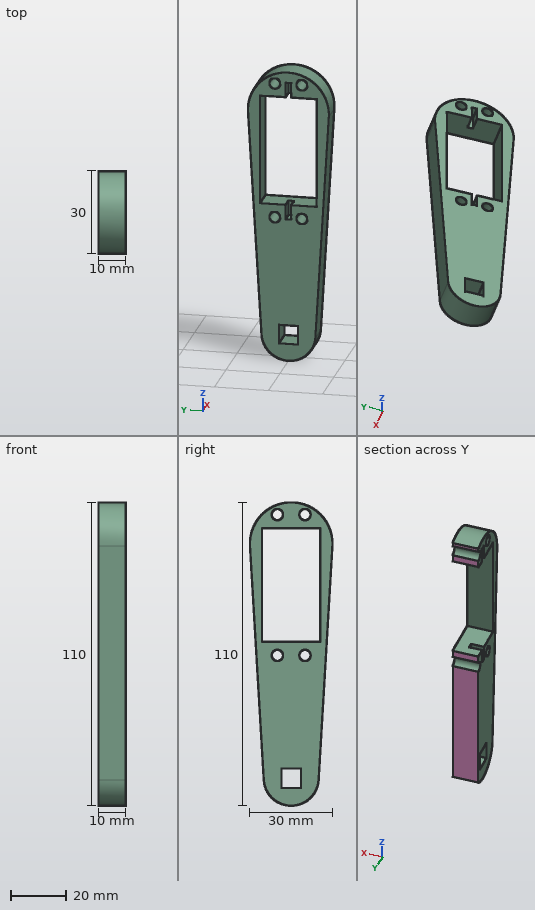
import cadquery as cq
import math

thickness = 10.0
large_radius = 15.0
small_radius = 10.0
overall_length = 110.0
end_spacing = overall_length - large_radius - small_radius

window_width = 21.0
window_height = 41.0
window_center_z = -large_radius
screw_diameter = 4.0
screw_spacing_y = 10.0
screw_spacing_z = 51.0
slot_width = 2.0
slot_length = 5.5
slot_depth = 5.0

drive_size = 7.0


def tapered_plate():
    """Two round ends joined by their common outer tangent lines."""
    tilt = math.asin((large_radius - small_radius) / end_spacing)
    large_y = large_radius * math.cos(tilt)
    large_z = -large_radius * math.sin(tilt)
    small_y = small_radius * math.cos(tilt)
    small_z = -end_spacing - small_radius * math.sin(tilt)
    return (
        cq.Workplane("YZ")
        .moveTo(large_y, large_z)
        .threePointArc((0, large_radius), (-large_y, large_z))
        .lineTo(-small_y, small_z)
        .threePointArc((0, -end_spacing - small_radius), (small_y, small_z))
        .close()
        .extrude(thickness)
    )


def rectangular_cutter(width, height, center_z, depth):
    """Block centred on Y = 0 that reaches the given depth from the front face."""
    return cq.Workplane("YZ").center(0, center_z).rect(width, height).extrude(depth)


def screw_holes():
    return (
        cq.Workplane("YZ")
        .center(0, window_center_z)
        .rect(screw_spacing_y, screw_spacing_z, forConstruction=True)
        .vertices()
        .circle(screw_diameter / 2)
        .extrude(thickness)
    )


def wire_slots():
    """One blind slot reaching past both the top and the bottom of the window."""
    slot_span = window_height + 2 * slot_length
    return rectangular_cutter(slot_width, slot_span, window_center_z, slot_depth)


window = rectangular_cutter(window_width, window_height, window_center_z, thickness)
drive_hole = rectangular_cutter(drive_size, drive_size, -end_spacing, thickness)

result = (
    tapered_plate()
    .cut(window)
    .cut(wire_slots())
    .cut(screw_holes())
    .cut(drive_hole)
)